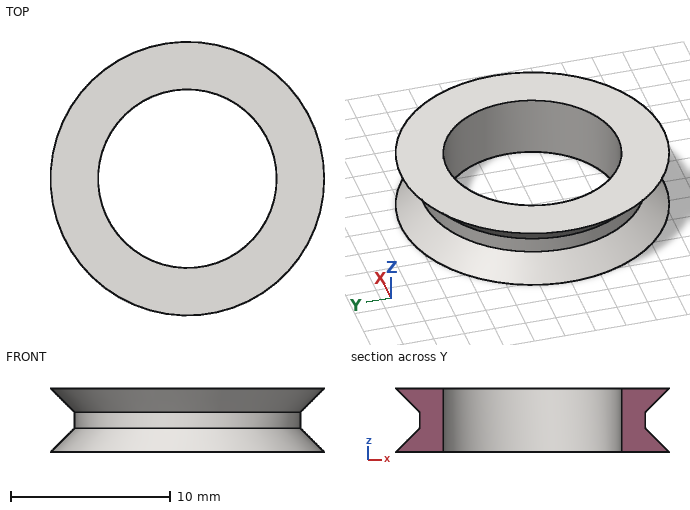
import cadquery as cq

outer_diameter = 17.2
groove_diameter = 14.2
bore_diameter = 11.2
height = 4.0

outer_radius = outer_diameter / 2
groove_radius = groove_diameter / 2
bore_radius = bore_diameter / 2

flare_height = outer_radius - groove_radius
half_height = height / 2
half_groove_floor = half_height - flare_height

section = [
    (bore_radius, -half_height),
    (outer_radius, -half_height),
    (groove_radius, -half_groove_floor),
    (groove_radius, half_groove_floor),
    (outer_radius, half_height),
    (bore_radius, half_height),
]

result = cq.Workplane("XZ").polyline(section).close().revolve(360, (0, 0, 0), (0, 1, 0))